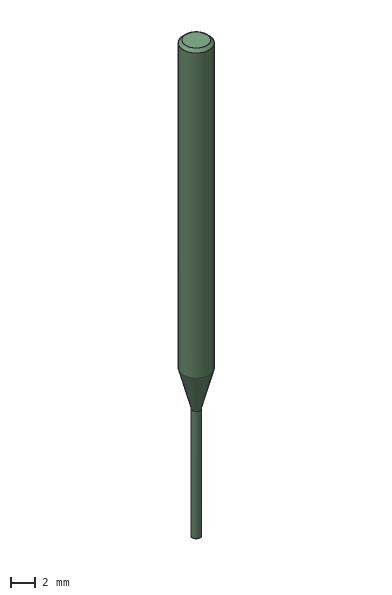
import cadquery as cq
import math

total_length = 50.0

shank_radius = 1.5
top_face_radius = 1.2
bevel_angle = 45.0
taper_angle = 15.0
neck_length = 0.15

cutter_length = 13.0
cutter_radius = 0.45
tip_half_angle = 65.0

bevel_height = (shank_radius - top_face_radius) * math.tan(math.radians(bevel_angle))
taper_height = (shank_radius - cutter_radius) / math.tan(math.radians(taper_angle))
tip_height = cutter_radius / math.tan(math.radians(tip_half_angle))

neck_top = cutter_length + neck_length
taper_top = neck_top + taper_height


def revolved(profile):
    """Revolve a closed outline of (radius, z) points about the Z axis."""
    return cq.Workplane("XZ").polyline(profile).close().revolve(360, (0, 0), (0, 1))


def make_shank():
    return revolved([
        (0, cutter_length),
        (cutter_radius, cutter_length),
        (cutter_radius, neck_top),
        (shank_radius, taper_top),
        (shank_radius, total_length - bevel_height),
        (top_face_radius, total_length),
        (0, total_length),
    ])


def make_cutter():
    return revolved([
        (0, 0),
        (cutter_radius, tip_height),
        (cutter_radius, cutter_length),
        (0, cutter_length),
    ])


shank = make_shank()
cutter = make_cutter()

result = cq.Compound.makeCompound([shank.val(), cutter.val()])